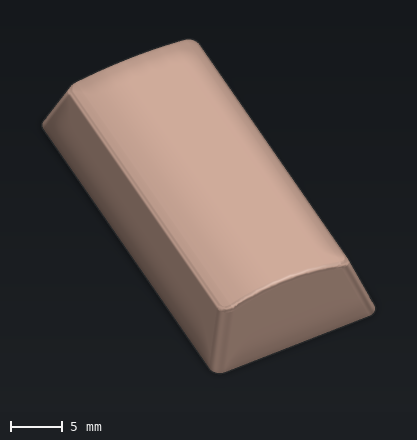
import cadquery as cq
import math

length = 37.05
width = 18.0
height = 7.2

wall_draft = 17.8
corner_radius = 1.25
rim_radius = 0.63

crown_radius = 24.45


def tapered_block():
    """Rectangular block whose four walls lean inwards by the draft angle."""
    return cq.Workplane("XY").rect(length, width).extrude(height, taper=wall_draft)


def crown_envelope():
    """Solid along X with a flat bottom and an arched top that peaks at the full height."""
    half_width = width / 2
    shoulder_height = height - crown_radius + math.sqrt(crown_radius**2 - half_width**2)
    return (
        cq.Workplane("YZ")
        .moveTo(-half_width, 0)
        .lineTo(half_width, 0)
        .lineTo(half_width, shoulder_height)
        .threePointArc((0, height), (-half_width, shoulder_height))
        .close()
        .extrude(length / 2, both=True)
    )


rounded_block = tapered_block().edges("not(#Z or |X or |Y)").fillet(corner_radius)
arched_cap = rounded_block.intersect(crown_envelope())
result = arched_cap.faces(">Z").edges().fillet(rim_radius)